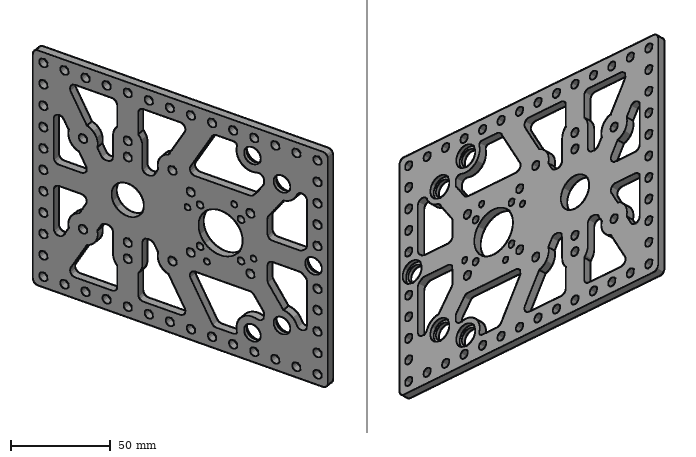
import cadquery as cq
import math

length = 177.8
thickness = 4.8
columns = 14
rows = 11
pitch = length / columns
height = rows * pitch
corner_radius = 3.2

frame_width = pitch
half_rib = pitch / 2
pocket_radius = pitch / 4
small_pocket_radius = 2.0
pocket_top = height / 2 - frame_width
pocket_side = length / 2 - frame_width

bolt_diameter = 5.0
bolt_boss_radius = 8.9

bore_x = -2.5 * pitch
bore_diameter = 19.4
brace_offset = 3 * pitch / math.sqrt(2)
inner_bolt_z = 2 * pitch
outer_bolt_z = 35.0
bore_pocket_bottom = 19.0
brace_angle = 60.0

motor_x = 24.2
motor_bore_diameter = 26.5
motor_bolt_ring_radius = 2 * pitch
motor_screw_ring_radius = 17.5
motor_screw_diameter = 4.1
motor_pin_ring_radius = 21.5
motor_pin_diameter = 3.5
motor_pin_start_angle = 67.5
motor_rib_z = 28.5
motor_pocket_nose_x = 50.3

standoff_ring_radius = 56.0
standoff_diameter = 10.0
standoff_recess_diameter = 13.0
standoff_recess_depth = 2.5
standoff_boss_radius = 9.6
high_standoff_angle = 70.0
low_standoff_angle = 48.7
standoff_rib_angle = 54.0
side_pocket_left = 52.5


def sketch_plane():
    """Plane of the back face, which looks toward the front face at -Y."""
    return cq.Workplane("XZ", origin=(0, thickness / 2, 0))


def cylinders(points, diameter):
    """Full-thickness cylinders along Y at the given XZ points."""
    return sketch_plane().pushPoints(points).circle(diameter / 2).extrude(thickness)


def round_corner(body, corner, radius):
    """Fillet the through-thickness edge nearest to an XZ corner point."""
    edge = cq.selectors.NearestToPointSelector((corner[0], 0, corner[1]))
    return body.edges("|Y").edges(edge).fillet(radius)


def polygon_pocket(points):
    return sketch_plane().polyline(points).close().extrude(thickness)


def around(centre_x, radius, angle):
    """Point at a polar position about a centre on the X axis."""
    turn = math.radians(angle)
    return (centre_x + radius * math.cos(turn), radius * math.sin(turn))


def line_x(through, angle, side_shift, z):
    """X at height z on a sloped line shifted sideways from a given point."""
    turn = math.radians(angle)
    return through[0] + side_shift / math.sin(turn) + (z - through[1]) / math.tan(turn)


def line_z(through, angle, side_shift, x):
    """Z at position x on a sloped line shifted sideways from a given point."""
    turn = math.radians(angle)
    return through[1] + (x - through[0]) * math.tan(turn) - side_shift / math.cos(turn)


left_brace = (bore_x - brace_offset, brace_offset)
right_brace = (bore_x + brace_offset, brace_offset)
high_standoff = around(motor_x, standoff_ring_radius, high_standoff_angle)
low_standoff = around(motor_x, standoff_ring_radius, low_standoff_angle)
end_standoff = around(motor_x, standoff_ring_radius, 0)


def bore_pocket():
    """Tapered pocket between the right brace and the rib above the bore."""
    rib_x = bore_x + half_rib
    neck_x = bore_x + bolt_boss_radius
    slope = (right_brace, brace_angle, -half_rib)
    corners = [
        (rib_x, pocket_top),
        (line_x(*slope, pocket_top), pocket_top),
        (line_x(*slope, bore_pocket_bottom), bore_pocket_bottom),
        (neck_x, bore_pocket_bottom),
    ]
    pocket = polygon_pocket(corners + [(neck_x, outer_bolt_z), (rib_x, outer_bolt_z)])
    for corner in corners:
        pocket = round_corner(pocket, corner, pocket_radius)
    bosses = [right_brace, (bore_x, outer_bolt_z)]
    return pocket.cut(cylinders(bosses, 2 * bolt_boss_radius))


def left_pocket():
    """Triangular pocket between the left frame and the left brace."""
    slope = (left_brace, -brace_angle, half_rib)
    corners = [
        (-pocket_side, half_rib),
        (line_x(*slope, half_rib), half_rib),
        (-pocket_side, line_z(*slope, -pocket_side)),
    ]
    pocket = polygon_pocket(corners)
    for corner in corners:
        pocket = round_corner(pocket, corner, pocket_radius)
    return pocket.cut(cylinders([left_brace], 2 * bolt_boss_radius))


def boss_reach(offset):
    """Half chord of a standoff boss at an offset from its centre."""
    return math.sqrt(standoff_boss_radius**2 - offset**2)


def motor_pocket():
    """Pocket above the motor bore, between the right brace and the standoff rib."""
    left_slope = (right_brace, brace_angle, half_rib)
    right_slope = (low_standoff, standoff_rib_angle, -half_rib)
    nose_x = motor_pocket_nose_x
    corners = [
        (line_x(*right_slope, motor_rib_z), motor_rib_z),
        (line_x(*left_slope, motor_rib_z), motor_rib_z),
        (line_x(*left_slope, pocket_top), pocket_top),
        (nose_x, line_z(*right_slope, nose_x)),
    ]
    pocket = polygon_pocket(corners[:3] + [(nose_x, pocket_top), corners[3]])
    pocket = pocket.cut(cylinders([high_standoff], 2 * standoff_boss_radius))
    boss_at_top = (high_standoff[0] - boss_reach(pocket_top - high_standoff[1]), pocket_top)
    boss_at_nose = (nose_x, high_standoff[1] - boss_reach(nose_x - high_standoff[0]))
    for corner in corners + [boss_at_nose]:
        pocket = round_corner(pocket, corner, pocket_radius)
    return round_corner(pocket, boss_at_top, small_pocket_radius)


def side_pocket():
    """Pocket between the right frame and the standoff rib, with a round upper end."""
    slope = (low_standoff, standoff_rib_angle, half_rib)
    end_x = pocket_side - pocket_radius
    centre_distance = standoff_boss_radius + pocket_radius
    end_drop = math.sqrt(centre_distance**2 - (end_x - low_standoff[0]) ** 2)
    end_centre = (end_x, low_standoff[1] - end_drop)
    turn = math.radians(standoff_rib_angle)
    rib_edge = (
        low_standoff[0] + half_rib * math.sin(turn),
        low_standoff[1] - half_rib * math.cos(turn),
    )
    top_left = (side_pocket_left, line_z(*slope, side_pocket_left))
    bottom_left = (side_pocket_left, half_rib)
    bottom_right = (pocket_side, half_rib)
    end_right = (pocket_side, end_centre[1])
    outline = [top_left, bottom_left, bottom_right, end_right, end_centre, low_standoff, rib_edge]
    pocket = polygon_pocket(outline).union(cylinders([end_centre], 2 * pocket_radius))
    pocket = pocket.cut(cylinders([low_standoff, end_standoff], 2 * standoff_boss_radius))
    boss_at_bottom = (end_standoff[0] - boss_reach(half_rib), half_rib)
    boss_at_side = (pocket_side, boss_reach(end_standoff[0] - pocket_side))
    for corner in (top_left, bottom_left, boss_at_bottom, boss_at_side):
        pocket = round_corner(pocket, corner, pocket_radius)
    return pocket


def perimeter_points():
    """Grid points on the outermost columns and rows of the plate."""
    edge_x = (columns - 1) * pitch / 2
    edge_z = (rows - 1) * pitch / 2
    points = []
    for column in range(columns):
        x = column * pitch - edge_x
        points += [(x, edge_z), (x, -edge_z)]
    for row in range(1, rows - 1):
        z = row * pitch - edge_z
        points += [(edge_x, z), (-edge_x, z)]
    return points


def motor_circle(radius, start_angle):
    """Four points evenly spaced around the motor bore."""
    return [around(motor_x, radius, start_angle + 90 * step) for step in range(4)]


def mirrored(points):
    """The given XZ points together with their reflections below the X axis."""
    return points + [(x, -z) for x, z in points]


plate = sketch_plane().rect(length, height).extrude(thickness)
plate = plate.edges("|Y").fillet(corner_radius)

right_bore_pocket = bore_pocket()
left_bore_pocket = right_bore_pocket.mirror("YZ", (bore_x, 0, 0))
for pocket in (right_bore_pocket, left_bore_pocket, left_pocket(), motor_pocket(), side_pocket()):
    plate = plate.cut(pocket).cut(pocket.mirror("XY"))

bore_bolts = [left_brace, right_brace, (bore_x, inner_bolt_z), (bore_x, outer_bolt_z)]
bolt_points = perimeter_points() + mirrored(bore_bolts) + motor_circle(motor_bolt_ring_radius, 45)
plate = plate.cut(cylinders(bolt_points, bolt_diameter))

plate = plate.cut(cylinders([(bore_x, 0)], bore_diameter))
plate = plate.cut(cylinders([(motor_x, 0)], motor_bore_diameter))
motor_screws = motor_circle(motor_screw_ring_radius, 45)
motor_pins = motor_circle(motor_pin_ring_radius, motor_pin_start_angle)
plate = plate.cut(cylinders(motor_screws, motor_screw_diameter))
plate = plate.cut(cylinders(motor_pins, motor_pin_diameter))

standoffs = mirrored([high_standoff, low_standoff]) + [end_standoff]
plate = plate.cut(cylinders(standoffs, standoff_diameter))
recesses = sketch_plane().pushPoints(standoffs).circle(standoff_recess_diameter / 2)
result = plate.cut(recesses.extrude(standoff_recess_depth))